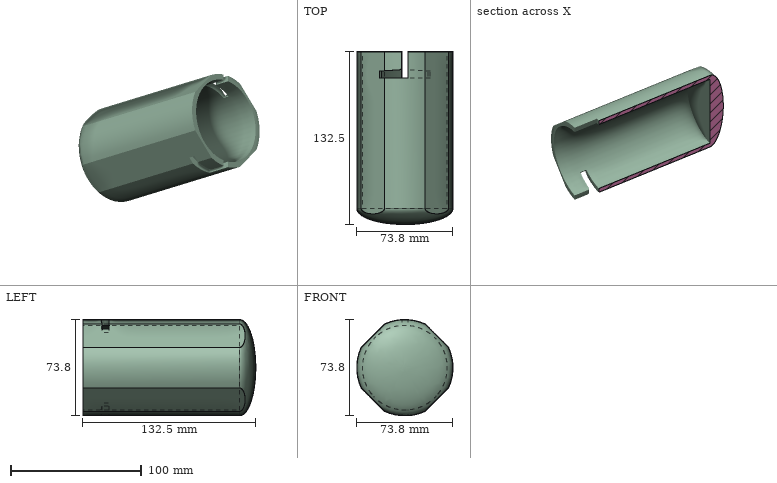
import cadquery as cq
import math

OUTER_DIAMETER = 73.8
BORE_DIAMETER = 65.0
BARREL_LENGTH = 120.0
DOME_HEIGHT = 12.5
BORE_DEPTH = BARREL_LENGTH

FLAT_COUNT = 4
ACROSS_FLATS = 69.3

BAYONET_COUNT = 2
ENTRY_WIDTH = 4.65
ENTRY_DEPTH = 20.1
RUN_ANGLE = 33.4
RUN_END_WIDTH = 5.25
RUN_SLOPE = 3.5
LEAD_IN_RADIUS = 2.0

OUTER_RADIUS = OUTER_DIAMETER / 2
CUT_HEIGHT = OUTER_DIAMETER


def make_barrel():
    """Solid round body closed by a half-ellipse dome, revolved about Y."""
    return (
        cq.Workplane("XY")
        .lineTo(OUTER_RADIUS, 0)
        .lineTo(OUTER_RADIUS, -BARREL_LENGTH)
        .ellipseArc(OUTER_RADIUS, DOME_HEIGHT, 270, 360, sense=-1, startAtCurrent=True)
        .close()
        .revolve(360, (0, 0, 0), (0, 1, 0))
    )


def make_flats_envelope():
    """Square bar with its corners on X and Z; its sides are the grip flats."""
    total_length = BARREL_LENGTH + DOME_HEIGHT
    return (
        cq.Workplane("XZ")
        .polygon(FLAT_COUNT, ACROSS_FLATS / math.cos(math.pi / FLAT_COUNT))
        .extrude(total_length)
    )


def make_bore():
    return cq.Workplane("XZ").circle(BORE_DIAMETER / 2).extrude(BORE_DEPTH)


def make_bayonet_slot():
    """Cutter for the slot in the +Z wall, its run turning towards -X."""
    half_entry = ENTRY_WIDTH / 2
    run_end_x = OUTER_RADIUS * math.sin(math.radians(RUN_ANGLE))
    run_end_y = -ENTRY_DEPTH + RUN_END_WIDTH
    run_mouth_y = run_end_y + (run_end_x - half_entry) * math.tan(math.radians(RUN_SLOPE))
    profile = (
        cq.Workplane("XY")
        .moveTo(half_entry, 0)
        .lineTo(half_entry, -ENTRY_DEPTH)
        .lineTo(-run_end_x, -ENTRY_DEPTH)
        .lineTo(-run_end_x, run_end_y)
        .lineTo(-half_entry, run_mouth_y)
        .lineTo(-half_entry, 0)
        .close()
        .extrude(CUT_HEIGHT)
    )
    corner = cq.selectors.NearestToPointSelector(
        (-half_entry, run_mouth_y, CUT_HEIGHT / 2)
    )
    profile = profile.edges("|Z").edges(corner).fillet(LEAD_IN_RADIUS)

    sector = (
        cq.Workplane("XZ")
        .lineTo(-CUT_HEIGHT * math.tan(math.radians(RUN_ANGLE)), CUT_HEIGHT)
        .lineTo(half_entry, CUT_HEIGHT)
        .lineTo(half_entry, 0)
        .close()
        .extrude(ENTRY_DEPTH)
    )
    return profile.intersect(sector)


result = make_barrel().intersect(make_flats_envelope()).cut(make_bore())
for index in range(BAYONET_COUNT):
    turn = index * 360 / BAYONET_COUNT
    result = result.cut(make_bayonet_slot().rotate((0, 0, 0), (0, 1, 0), turn))